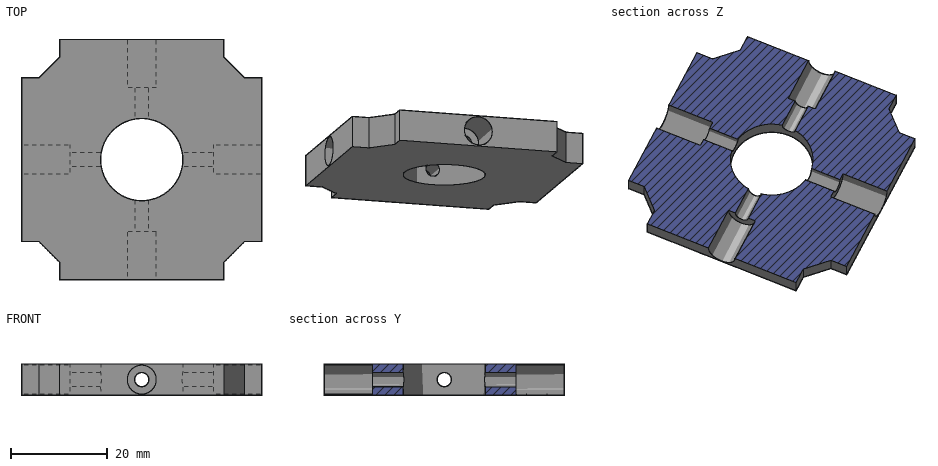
import cadquery as cq

plate_width = 49.8
plate_thickness = 6.5

edge_length = 34.0
notch_wall_end = 21.3

bore_diameter = 17.0

screw_hole_diameter = 2.9
head_hole_diameter = 6.0
head_hole_depth = 10.0
side_angles = [0, 90, 180, 270]

half_width = plate_width / 2
half_edge = edge_length / 2


def notched_plate():
    """Square plate, centred on the origin, with the four corners notched."""
    points = []
    for x_sign, y_sign in [(1, 1), (-1, 1), (-1, -1), (1, -1)]:
        corner = [
            (x_sign * half_width, y_sign * half_edge),
            (x_sign * notch_wall_end, y_sign * half_edge),
            (x_sign * half_edge, y_sign * notch_wall_end),
            (x_sign * half_edge, y_sign * half_width),
        ]
        if x_sign != y_sign:
            corner.reverse()
        points.extend(corner)
    outline = cq.Workplane("XY").polyline(points).close()
    return outline.extrude(plate_thickness / 2, both=True)


def central_bore():
    return cq.Workplane("XY").circle(bore_diameter / 2).extrude(plate_thickness / 2, both=True)


def side_screw_hole(angle):
    """Screw hole from the centre outwards, with its head recess at the outer side."""
    screw_hole = cq.Workplane("YZ").circle(screw_hole_diameter / 2).extrude(half_width)
    head_plane = cq.Workplane("YZ", origin=(half_width - head_hole_depth, 0, 0))
    head_hole = head_plane.circle(head_hole_diameter / 2).extrude(head_hole_depth)
    return screw_hole.union(head_hole).rotate((0, 0, 0), (0, 0, 1), angle)


result = notched_plate().cut(central_bore())
for side_angle in side_angles:
    result = result.cut(side_screw_hole(side_angle))